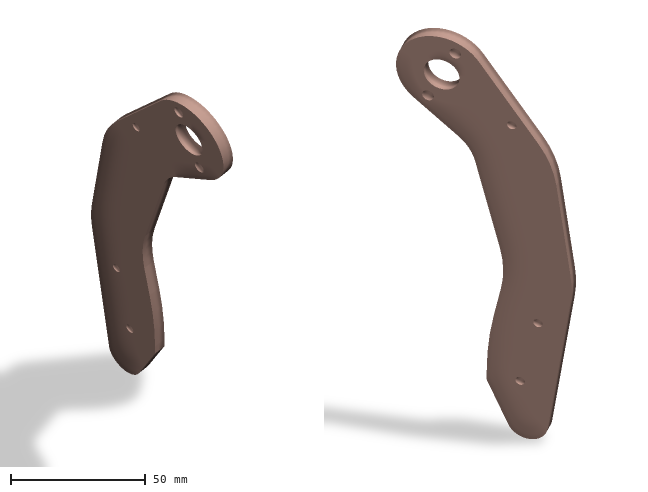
import cadquery as cq
import math

thickness = 5.0
overall_height = 185.2

head_center = (0.0, 0.0)
head_radius = 18.0
bore_diameter = 14.0
pin_diameter = 4.6
pin_offset = (5.4, -11.7)
mount_diameter = 3.7
mount_centers = [(-27.6, -16.9), (-38.0, -110.0), (-31.0, -140.0)]

tip_radius = 8.2
tip_center = (-33.7, head_radius + tip_radius - overall_height)

back_upper, back_upper_radius = (-43.9, -31.1), 40.8
back_lower, back_lower_radius = (-51.7, -90.0), 50.0
neck, neck_radius = (-11.7, -32.0), 18.5
waist, waist_radius = (-25.4, -87.5), 44.5
belly_x = -17.8
belly, belly_radius = (belly_x, -124.9), 140.8
belly_end = (belly_x, -143.2)


def point_on_circle(center, radius, angle):
    return (center[0] + radius * math.cos(angle), center[1] + radius * math.sin(angle))


def tangent_point(corner, center, radius, side):
    """Touch point of a line from corner to a circle; side +1 is counterclockwise of the corner."""
    dx = corner[0] - center[0]
    dz = corner[1] - center[1]
    angle = math.atan2(dz, dx) + side * math.acos(radius / math.hypot(dx, dz))
    return point_on_circle(center, radius, angle)


def make_blank():
    """Plate with a round head and tip joined by straight tangent edges."""
    head_back = tangent_point(back_upper, head_center, head_radius, -1)
    head_front = tangent_point(neck, head_center, head_radius, 1)
    tip_back = tangent_point(back_lower, tip_center, tip_radius, 1)
    tip_front = tangent_point(belly_end, tip_center, tip_radius, -1)
    head_crown = point_on_circle(head_center, head_radius, math.pi / 4)
    tip_bottom = point_on_circle(tip_center, tip_radius, -math.pi / 2)
    return (
        cq.Workplane("XZ")
        .moveTo(*head_back)
        .threePointArc(head_crown, head_front)
        .lineTo(*neck)
        .lineTo(*waist)
        .lineTo(*belly)
        .lineTo(*belly_end)
        .lineTo(*tip_front)
        .threePointArc(tip_bottom, tip_back)
        .lineTo(*back_lower)
        .lineTo(*back_upper)
        .close()
        .extrude(thickness / 2, both=True)
    )


def round_bend(body, corner, radius):
    x, z = corner
    return body.edges("|Y").edges(cq.NearestToPointSelector((x, 0, z))).fillet(radius)


def drill(body, centers, diameter):
    cutter = cq.Workplane("XZ").pushPoints(centers).circle(diameter / 2).extrude(thickness, both=True)
    return body.cut(cutter)


arm = make_blank()
for bend_corner, bend_radius in [
    (back_upper, back_upper_radius),
    (back_lower, back_lower_radius),
    (neck, neck_radius),
    (waist, waist_radius),
    (belly, belly_radius),
]:
    arm = round_bend(arm, bend_corner, bend_radius)

pin_centers = [(side * pin_offset[0], side * pin_offset[1]) for side in (1, -1)]
arm = drill(arm, [head_center], bore_diameter)
arm = drill(arm, pin_centers, pin_diameter)
arm = drill(arm, mount_centers, mount_diameter)

result = arm